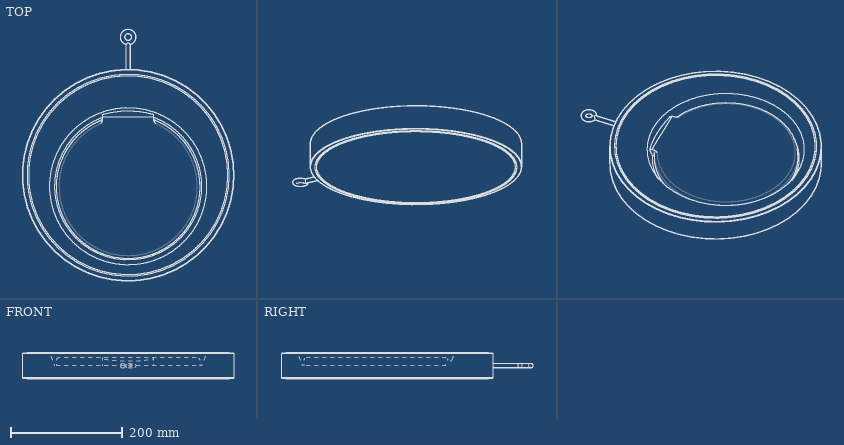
import cadquery as cq
overall_length = 452.0
body_diameter = 380.0
overall_thickness = 47.0

bead_outer_diameter = 362.5
bead_inner_diameter = 357.0
bead_height = 1.0
rim_chamfer = 1.0

recess_offset = 20.0
recess_top_diameter = 282.0
recess_floor_diameter = 264.0
recess_depth = 22.5

flap_offset = 21.0
flap_diameter = 257.5
flap_edge_radius = 5.0
flap_top_depth = 8.0

tab_width = 91.5
tab_edge_y = 105.0
tab_slope_run = 14.5
tab_slope_drop = 9.0
tab_corner_radius = 3.0

pin_diameter = 8.0
eye_wire_diameter = 8.0
eye_outer_diameter = 28.0
pin_embed = 18.0

margin = 0.5

body_radius = body_diameter / 2
mid_height = overall_thickness / 2
body_top = overall_thickness - bead_height
recess_floor = body_top - recess_depth
flap_top = body_top - flap_top_depth
eye_radius = (eye_outer_diameter - eye_wire_diameter) / 2
eye_center_y = overall_length - body_radius - eye_outer_diameter / 2


def make_body():
    """Plain disc with a bead ring that stands proud of both faces."""
    disc = (
        cq.Workplane("XY", origin=(0, 0, bead_height))
        .circle(body_radius)
        .extrude(overall_thickness - 2 * bead_height)
        .edges()
        .chamfer(rim_chamfer)
    )
    beads = (
        cq.Workplane("XY")
        .circle(bead_outer_diameter / 2)
        .circle(bead_inner_diameter / 2)
        .extrude(overall_thickness)
    )
    return disc.union(beads)


def make_recess():
    """Conical pocket that narrows towards its flat floor."""
    return (
        cq.Workplane("XY", origin=(0, -recess_offset, recess_floor))
        .circle(recess_floor_diameter / 2)
        .workplane(offset=recess_depth)
        .circle(recess_top_diameter / 2)
        .loft(ruled=True)
    )


def make_flap():
    """Round flap joined to a straight hinge tab that slopes down to the recess wall."""
    flap_height = flap_top - recess_floor
    tab_back_y = tab_edge_y + tab_slope_run
    tab_side = tab_width / 2
    disc = (
        cq.Workplane("XY", origin=(0, -flap_offset, recess_floor))
        .circle(flap_diameter / 2)
        .extrude(flap_height)
        .faces(">Z")
        .edges()
        .fillet(flap_edge_radius)
    )
    tab = (
        cq.Workplane("XY", origin=(0, tab_back_y / 2, recess_floor))
        .rect(tab_width, tab_back_y)
        .extrude(flap_height)
    )
    inside_corners = cq.selectors.BoxSelector(
        (-tab_width, tab_edge_y / 2, recess_floor + margin),
        (tab_width, tab_back_y - margin, flap_top - margin),
    )
    slope = (
        cq.Workplane("YZ")
        .moveTo(tab_edge_y, flap_top)
        .lineTo(tab_back_y, flap_top)
        .lineTo(tab_back_y, flap_top - tab_slope_drop)
        .close()
        .extrude(tab_side, both=True)
    )
    return disc.union(tab).edges(inside_corners).fillet(tab_corner_radius).cut(slope)


def make_eye_pin():
    """Round pin that runs into a closed ring."""
    pin_start = body_radius - pin_embed
    pin_end = eye_center_y - eye_radius
    pin = (
        cq.Workplane("XZ", origin=(0, pin_start, mid_height))
        .circle(pin_diameter / 2)
        .extrude(pin_start - pin_end)
    )
    eye = (
        cq.Workplane("YZ", origin=(0, eye_center_y, mid_height))
        .center(eye_radius, 0)
        .circle(eye_wire_diameter / 2)
        .revolve(360, (-eye_radius, 0), (-eye_radius, 1))
    )
    return pin.union(eye)


result = make_body().cut(make_recess()).union(make_flap()).union(make_eye_pin())